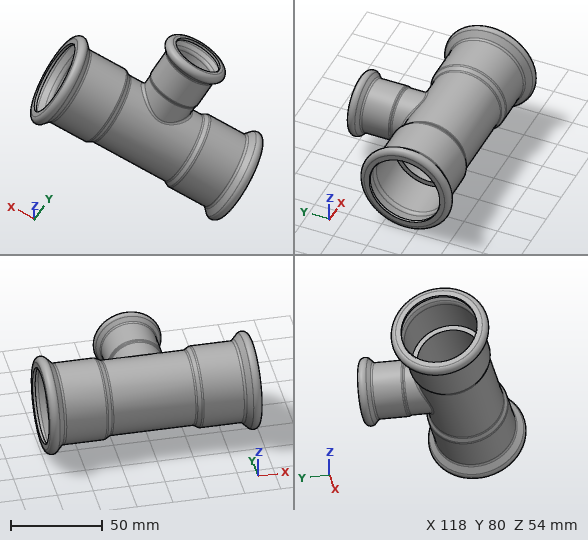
import cadquery as cq
import math

run_length = 118.0
branch_reach = 53.0

socket_wall = 1.5
tube_wall = 2.6

run_socket_diameter = 45.0
run_tube_diameter = 41.4
run_rim_diameter = 54.0
run_socket_depth = 32.5
run_blend = 2.0

branch_socket_diameter = 31.0
branch_tube_diameter = 29.8
branch_rim_diameter = 37.7
branch_socket_depth = 24.4
branch_blend = 1.5

rim_roll = 3.0
rim_cone_angle = math.radians(45)
taper_angle = math.radians(30)
junction_fillet = 1.5


def rim_points(rim_radius, roll_radius, socket_radius):
    """Points (radius, depth) of a rolled rim and the cone that runs down to the socket wall."""
    centre_radius = rim_radius - rim_roll
    start = (centre_radius, rim_roll - roll_radius)
    crown = (centre_radius + roll_radius, rim_roll)
    cone_start = (
        centre_radius + roll_radius * math.cos(rim_cone_angle),
        rim_roll + roll_radius * math.sin(rim_cone_angle),
    )
    cone_length = (cone_start[0] - socket_radius) / math.tan(rim_cone_angle)
    cone_end = (socket_radius, cone_start[1] + cone_length)
    return start, crown, cone_start, cone_end


def add_blend(profile, corner, radius, angle_before, angle_after):
    """Run the profile to a corner and round it; angles lean inward from the axis direction."""
    angle = abs(angle_before - angle_after)
    setback = radius * math.tan(angle / 2)
    mid_gap = radius * (1 / math.cos(angle / 2) - 1)
    start = (
        corner[0] + setback * math.sin(angle_before),
        corner[1] - setback * math.cos(angle_before),
    )
    end = (
        corner[0] - setback * math.sin(angle_after),
        corner[1] + setback * math.cos(angle_after),
    )
    side = 1 if angle_before > angle_after else -1
    mean_angle = (angle_before + angle_after) / 2
    middle = (
        corner[0] + side * mid_gap * math.cos(mean_angle),
        corner[1] + side * mid_gap * math.sin(mean_angle),
    )
    return profile.lineTo(*start).threePointArc(middle, end)


def revolve_profile(profile, axis_length):
    """Close a profile along the Y axis and turn it about that axis."""
    return profile.lineTo(0, axis_length).close().revolve(360, (0, 0, 0), (0, 1, 0))


def arm_body(rim_diameter, socket_diameter, tube_diameter, socket_depth, blend_radius, length):
    """Solid outside of one arm, with its mouth at the origin and its axis along +Y."""
    socket_radius = socket_diameter / 2
    tube_radius = tube_diameter / 2
    start, crown, cone_start, cone_end = rim_points(rim_diameter / 2, rim_roll, socket_radius)
    taper_length = (socket_radius - tube_radius) / math.tan(taper_angle)
    taper_start = (socket_radius, socket_depth)
    taper_end = (tube_radius, socket_depth + taper_length)

    profile = cq.Workplane("XY").lineTo(*start).threePointArc(crown, cone_start)
    profile = add_blend(profile, cone_end, blend_radius, rim_cone_angle, 0)
    profile = add_blend(profile, taper_start, blend_radius, 0, taper_angle)
    profile = add_blend(profile, taper_end, blend_radius, taper_angle, 0)
    profile = profile.lineTo(tube_radius, length)
    return revolve_profile(profile, length)


def arm_cavity(rim_diameter, socket_diameter, tube_diameter, socket_depth, blend_radius, length):
    """Hollow of one arm: mouth, seal groove inside the rim, socket bore, pipe stop and tube bore."""
    bore_radius = socket_diameter / 2 - socket_wall
    tube_bore_radius = tube_diameter / 2 - tube_wall
    groove_roll = rim_roll - socket_wall
    start, crown, cone_start, cone_end = rim_points(rim_diameter / 2, groove_roll, bore_radius)
    groove_blend = blend_radius + socket_wall

    profile = cq.Workplane("XY").lineTo(bore_radius, 0).lineTo(bore_radius, start[1])
    profile = profile.lineTo(*start).threePointArc(crown, cone_start)
    profile = add_blend(profile, cone_end, groove_blend, rim_cone_angle, 0)
    profile = profile.lineTo(bore_radius, socket_depth).lineTo(tube_bore_radius, socket_depth)
    profile = profile.lineTo(tube_bore_radius, length)
    return revolve_profile(profile, length)


def place_on_run(half):
    """Lay an arm along X with its mouth at the -X end, and mirror it to the other end."""
    left = half.rotate((0, 0, 0), (0, 0, 1), -90).translate((-run_length / 2, 0, 0))
    return left.union(left.mirror("YZ"))


def place_on_branch(arm):
    """Turn an arm so that its mouth faces +Y."""
    return arm.rotate((0, 0, 0), (0, 0, 1), 180).translate((0, branch_reach, 0))


run_sizes = (
    run_rim_diameter,
    run_socket_diameter,
    run_tube_diameter,
    run_socket_depth,
    run_blend,
    run_length / 2,
)
branch_sizes = (
    branch_rim_diameter,
    branch_socket_diameter,
    branch_tube_diameter,
    branch_socket_depth,
    branch_blend,
    branch_reach,
)

body = place_on_run(arm_body(*run_sizes)).clean().union(place_on_branch(arm_body(*branch_sizes)))

run_tube_radius = run_tube_diameter / 2
saddle_box = cq.selectors.BoxSelector(
    (-run_tube_radius, 0, -run_tube_radius),
    (run_tube_radius, run_tube_radius + junction_fillet, run_tube_radius),
    boundingbox=True,
)
body = body.edges(saddle_box).fillet(junction_fillet)

cavity = place_on_run(arm_cavity(*run_sizes)).union(place_on_branch(arm_cavity(*branch_sizes)))
result = body.cut(cavity)